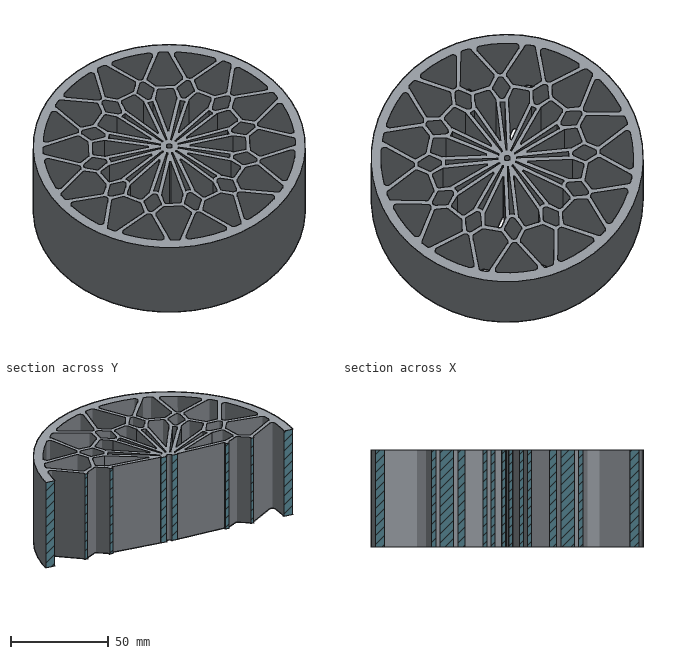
import cadquery as cq
import math

outer_diameter = 140.0
height = 50.0
rim_width = 5.0
inner_radius = outer_diameter / 2 - rim_width
hub_hole_diameter = 3.0

cell_count = 12
step_angle = 360 / cell_count
spoke_start = 0
between_start = step_angle / 2

slot_inner = 4.8
slot_inner_half_width = 0.3
slot_outer = 31.8
slot_outer_half_width = 1.3

petal_inner = 10.8
petal_inner_half_width = 0.3
petal_shoulder = 33.0
petal_shoulder_half_width = 5.5
petal_outer = 39.5
petal_outer_half_width = 4.2
petal_fillet = 1.3

diamond_inner = 32.2
diamond_outer = 47.7
diamond_middle = (diamond_inner + diamond_outer) / 2
diamond_half_width = 4.6
diamond_side_fillet = 0.8
diamond_end_fillet = 1.7

shield_inner = 41.6
shield_inner_half_width = 4.9
shield_shoulder = 46.3
shield_shoulder_half_width = 9.4
shield_rim_half_width = 2.4
shield_fillet = 1.4

triangle_inner = 46.5
triangle_rim_half_width = 12.2
triangle_fillet = 1.8


def mirrored(half_outline):
    """Continue a half outline with its mirror image across the X axis."""
    return half_outline + [(x, -y) for x, y in reversed(half_outline) if y > 0]


def straight_cell(half_outline):
    """Prism with straight sides, symmetric about the X axis."""
    return cq.Workplane("XY").polyline(mirrored(half_outline)).close().extrude(height)


def rim_cell(half_outline, rim_half_width):
    """Prism with straight sides, closed by an arc along the inside of the rim."""
    rim_corner = math.sqrt(inner_radius**2 - rim_half_width**2)
    path = mirrored([(rim_corner, rim_half_width)] + half_outline[::-1])
    sides = cq.Workplane("XY").polyline(path)
    return sides.threePointArc((inner_radius, 0), path[0]).close().extrude(height)


def cut_ring(body, cell, start_angle):
    """Cut copies of a cell, evenly spaced around the part centre."""
    solid = cell.val()
    angles = [start_angle + index * step_angle for index in range(cell_count)]
    copies = [solid.rotate(cq.Vector(0, 0, 0), cq.Vector(0, 0, 1), angle) for angle in angles]
    return body.cut(cq.Workplane(cq.Compound.makeCompound(copies)))


slot = straight_cell([
    (slot_inner, slot_inner_half_width),
    (slot_outer, slot_outer_half_width),
])

petal = straight_cell([
    (petal_inner, petal_inner_half_width),
    (petal_shoulder, petal_shoulder_half_width),
    (petal_outer, petal_outer_half_width),
])
petal = petal.faces(">X").edges("|Z").fillet(petal_fillet)

diamond = straight_cell([
    (diamond_inner, 0),
    (diamond_middle, diamond_half_width),
    (diamond_outer, 0),
])
diamond = diamond.edges("|Z and (<X or >X)").fillet(diamond_end_fillet)
diamond = diamond.edges("|Z and (<Y or >Y)").fillet(diamond_side_fillet)

shield = rim_cell([
    (shield_inner, shield_inner_half_width),
    (shield_shoulder, shield_shoulder_half_width),
], shield_rim_half_width)
shield = shield.edges("|Z").fillet(shield_fillet)

triangle = rim_cell([(triangle_inner, 0)], triangle_rim_half_width)
triangle = triangle.edges("|Z").fillet(triangle_fillet)

result = cq.Workplane("XY").circle(outer_diameter / 2).circle(hub_hole_diameter / 2).extrude(height)
for spoke_cell in (slot, diamond, triangle):
    result = cut_ring(result, spoke_cell, spoke_start)
for between_cell in (petal, shield):
    result = cut_ring(result, between_cell, between_start)